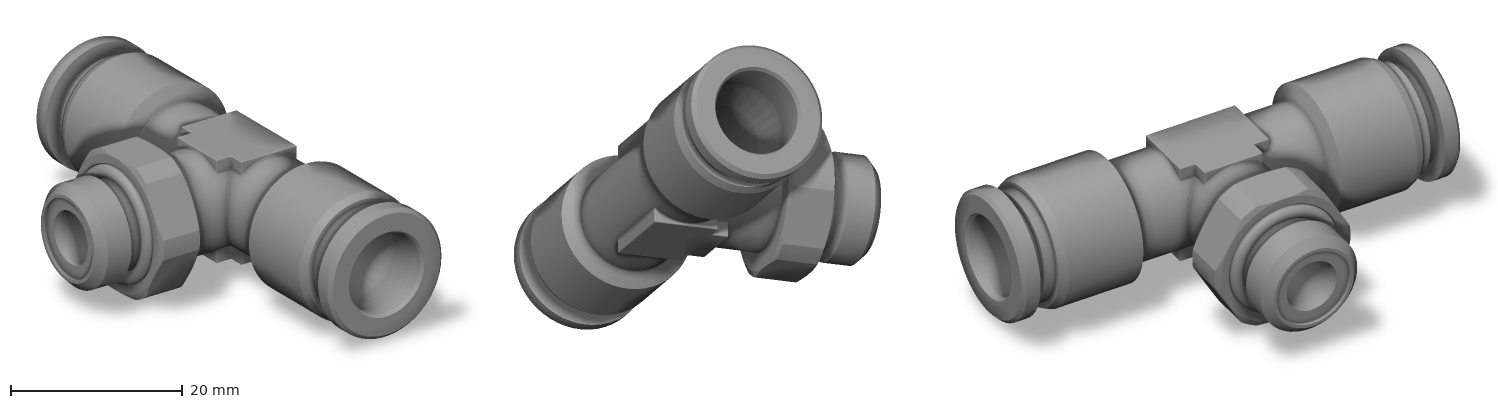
import cadquery as cq
import math

run_half_length = 29.6
pipe_radius = 6.3
flange_radius = 8.15
flange_thickness = 2.3
flange_chamfer = 0.5
neck_radius = 6.05
neck_length = 1.3
neck_root_radius = 0.25
shoulder_radius = 7.0
shoulder_length = 1.4
sleeve_radius = 8.15
sleeve_length = 11.1
sleeve_lip_radius = 7.7
sleeve_lip_length = 1.05
sleeve_taper_length = 1.05
sleeve_root_radius = 0.25

flange_back = run_half_length - flange_thickness
shoulder_end = flange_back - neck_length
sleeve_end = shoulder_end - shoulder_length
sleeve_taper_start = sleeve_end - sleeve_length
sleeve_root = sleeve_taper_start - sleeve_taper_length

mouth_radius = 5.4
mouth_chamfer_length = 0.5
tube_radius = 5.1
tube_depth = 5.6
tube_taper_length = 5.9
through_radius = 4.45

branch_end = 24.5
branch_bore_radius = 3.4
hex_start = 11.85
hex_end = 17.6
hex_across_flats = 17.0
hex_corner_radius = 9.2
hex_face_radius = 8.45
hex_chamfer_length = 0.3
thread_radius = 6.5
thread_start = 19.5
thread_lead_in = 0.55
tip_chamfer = 1.1
tip_recess_radius = 5.0
tip_recess_depth = 0.5

ring_wire_radius = 0.8
stud_neck_radius = 5.6
ring_centre_radius = stud_neck_radius + ring_wire_radius
groove_radius = 7.4
groove_depth = 0.75
groove_floor = hex_end - groove_depth

pad_half_height = 6.65
pad_half_width = 3.95
pad_reach = 6.05
crossing_edge_radius = 0.15

pick_margin = 0.05


def revolve_about_x(outline):
    return cq.Workplane("XY").polyline(outline).close().revolve(360, (0, 0, 0), (1, 0, 0))


def revolve_about_y(outline):
    return cq.Workplane("XY").polyline(outline).close().revolve(360, (0, 0, 0), (0, 1, 0))


def circle_at(station, radius):
    """Selector for the one circular edge of this radius at this station of the run."""
    near = station - pick_margin
    far = station + pick_margin
    outer = radius + pick_margin
    inner = radius - pick_margin
    outer_box = cq.selectors.BoxSelector((near, -outer, -outer), (far, outer, outer), boundingbox=True)
    inner_box = cq.selectors.BoxSelector((near, -inner, -inner), (far, inner, inner), boundingbox=True)
    return outer_box - inner_box


def half_run():
    """Half of the run from the centre to the +X mouth, without its bore."""
    turned = revolve_about_x([
        (0, 0),
        (0, pipe_radius),
        (sleeve_root, pipe_radius),
        (sleeve_taper_start, sleeve_radius),
        (sleeve_end - sleeve_lip_length, sleeve_radius),
        (sleeve_end, sleeve_lip_radius),
        (sleeve_end, shoulder_radius),
        (shoulder_end, shoulder_radius),
        (shoulder_end, neck_radius),
        (flange_back, neck_radius),
        (flange_back, flange_radius),
        (run_half_length - flange_chamfer, flange_radius),
        (run_half_length, flange_radius - flange_chamfer),
        (run_half_length, 0),
    ])
    turned = turned.edges(circle_at(sleeve_root, pipe_radius)).fillet(sleeve_root_radius)
    return turned.edges(circle_at(flange_back, neck_radius)).fillet(neck_root_radius)


def half_run_bore():
    """Stepped bore from the centre to the +X mouth."""
    tube_stop = run_half_length - tube_depth
    return revolve_about_x([
        (0, 0),
        (0, through_radius),
        (tube_stop - tube_taper_length, through_radius),
        (tube_stop, tube_radius),
        (run_half_length - mouth_chamfer_length, tube_radius),
        (run_half_length, mouth_radius),
        (run_half_length, 0),
    ])


def both_ends(half):
    return half.union(half.mirror("YZ"))


def branch_and_stud():
    """Branch pipe, stud neck and thread as one turned shape."""
    return revolve_about_y([
        (0, 0),
        (pipe_radius, 0),
        (pipe_radius, -hex_start),
        (stud_neck_radius, -hex_start),
        (stud_neck_radius, -thread_start),
        (thread_radius, -(thread_start + thread_lead_in)),
        (thread_radius, -(branch_end - tip_chamfer)),
        (thread_radius - tip_chamfer, -branch_end),
        (0, -branch_end),
    ])


def hexagon():
    """Hexagon with flats facing up and down and turned, chamfered corners."""
    corner_distance = hex_across_flats / math.cos(math.radians(30))
    prism = (
        cq.Workplane("XZ", origin=(0, -hex_start, 0))
        .polygon(6, corner_distance)
        .extrude(hex_end - hex_start)
    )
    turned_blank = revolve_about_y([
        (0, -hex_start),
        (hex_face_radius, -hex_start),
        (hex_corner_radius, -(hex_start + hex_chamfer_length)),
        (hex_corner_radius, -(hex_end - hex_chamfer_length)),
        (hex_face_radius, -hex_end),
        (0, -hex_end),
    ])
    return prism.intersect(turned_blank)


def pads():
    """T-shaped block that stands out above and below the crossing pipes."""
    return (
        cq.Workplane("XY", origin=(0, 0, -pad_half_height))
        .moveTo(-pad_reach, pad_half_width)
        .lineTo(pad_reach, pad_half_width)
        .lineTo(pad_reach, -pad_half_width)
        .lineTo(pad_half_width, -pad_half_width)
        .lineTo(pad_half_width, -pad_reach)
        .lineTo(-pad_half_width, -pad_reach)
        .lineTo(-pad_half_width, -pad_half_width)
        .lineTo(-pad_reach, -pad_half_width)
        .close()
        .extrude(2 * pad_half_height)
    )


def crossing_tee():
    """Run, branch and pads joined, every edge at the crossing slightly rounded."""
    tee = both_ends(half_run()).union(branch_and_stud()).union(pads())
    side = pipe_radius + pick_margin
    height = pad_half_height + pick_margin
    crossing = cq.selectors.BoxSelector((-side, -side, -height), (side, side, height), boundingbox=True)
    return tee.edges(crossing).fillet(crossing_edge_radius)


def ring_groove():
    """Groove in the hexagon face, from the stud neck outwards."""
    return (
        cq.Workplane("XZ", origin=(0, -groove_floor, 0))
        .circle(groove_radius)
        .circle(stud_neck_radius)
        .extrude(groove_depth)
    )


def branch_bore():
    return cq.Workplane("XZ").circle(branch_bore_radius).extrude(branch_end)


def tip_recess():
    return (
        cq.Workplane("XZ", origin=(0, -(branch_end - tip_recess_depth), 0))
        .circle(tip_recess_radius)
        .extrude(tip_recess_depth)
    )


def make_housing():
    outside = crossing_tee().union(hexagon())
    bores = both_ends(half_run_bore()).union(branch_bore())
    return outside.cut(bores).cut(tip_recess()).cut(ring_groove())


def make_o_ring():
    return (
        cq.Workplane("XY")
        .center(ring_centre_radius, -(groove_floor + ring_wire_radius))
        .circle(ring_wire_radius)
        .revolve(360, (-ring_centre_radius, 0, 0), (-ring_centre_radius, 1, 0))
    )


housing = make_housing()
o_ring = make_o_ring()

result = cq.Compound.makeCompound([housing.val(), o_ring.val()])